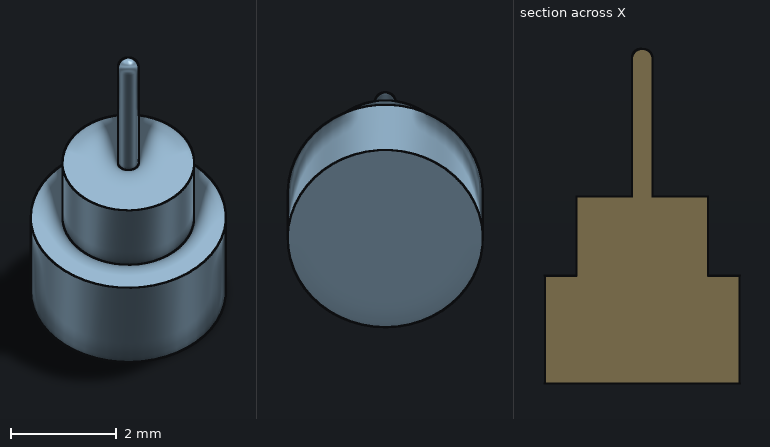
import cadquery as cq

base_diameter = 3.7
base_height = 2.05
collar_diameter = 2.5
collar_height = 1.5
insulator_diameter = 1.95
pin_diameter = 0.4
pin_length = 2.8
tip_height = 0.19

base_radius = base_diameter / 2
collar_radius = collar_diameter / 2
insulator_radius = insulator_diameter / 2
pin_radius = pin_diameter / 2
collar_top = base_height + collar_height
pin_top = collar_top + pin_length
tip_start = pin_top - tip_height

tip_flat_radius = pin_radius - tip_height


def half_profile():
    """Half section on the -X side of the axis, from the base up to the pin tip."""
    diagonal = tip_height * 0.5 ** 0.5
    tip_arc_middle = (-tip_flat_radius - diagonal, tip_start + diagonal)
    return (
        cq.Workplane("XZ")
        .moveTo(0, 0)
        .lineTo(-base_radius, 0)
        .lineTo(-base_radius, base_height)
        .lineTo(-collar_radius, base_height)
        .lineTo(-collar_radius, collar_top)
        .lineTo(-insulator_radius, collar_top)
        .lineTo(-pin_radius, collar_top)
        .lineTo(-pin_radius, tip_start)
        .threePointArc(tip_arc_middle, (-tip_flat_radius, pin_top))
        .lineTo(0, pin_top)
        .close()
    )


result = half_profile().revolve(360, (0, 0), (0, 1), clean=False)